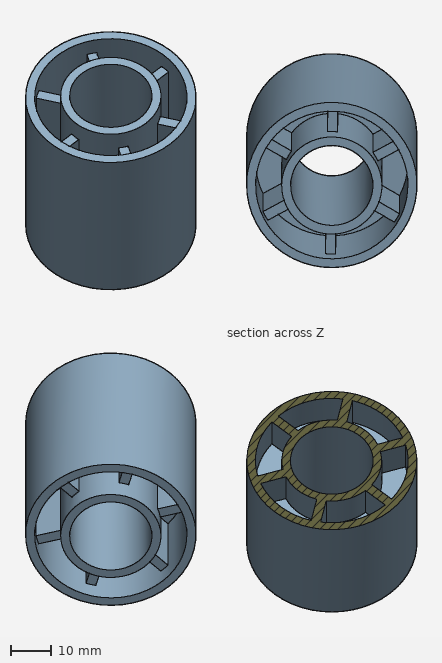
import cadquery as cq

inner_tube_length = 50.5
end_step = 0.5
outer_diameter = 42.5
outer_bore = 38.0
inner_diameter = 25.0
inner_bore = 20.5
rib_count = 6
first_rib_angle = 90
rib_width = 2.5
rib_recess = 5.0
web_thickness = 2.5

outer_tube_length = inner_tube_length - 2 * end_step
rib_length = outer_tube_length - 2 * rib_recess
outer_wall = (outer_diameter - outer_bore) / 2
inner_wall = (inner_diameter - inner_bore) / 2
rib_start = inner_diameter / 2 - inner_wall / 2
rib_end = outer_bore / 2 + outer_wall / 2


def ring(outside, inside, length):
    """Tube on the Z axis, centred on the origin."""
    base = cq.Workplane("XY").workplane(offset=-length / 2)
    return base.circle(outside / 2).circle(inside / 2).extrude(length)


def rib(angle):
    """Radial rib joining the two tubes at the given angle."""
    span = rib_end - rib_start
    block = cq.Workplane("XY").box(span, rib_width, rib_length)
    return block.translate((rib_start + span / 2, 0, 0)).rotate((0, 0, 0), (0, 0, 1), angle)


outer_tube = ring(outer_diameter, outer_bore, outer_tube_length)
inner_tube = ring(inner_diameter, inner_bore, inner_tube_length)

web = ring(2 * rib_end, 2 * rib_start, web_thickness)

result = outer_tube.union(inner_tube).union(web)
for index in range(rib_count):
    result = result.union(rib(first_rib_angle + index * 360 / rib_count))